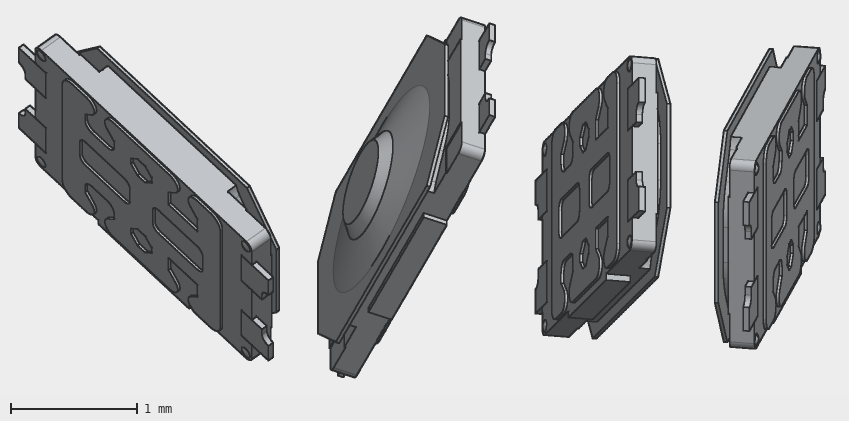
import cadquery as cq
import math


total_length = 3.0
housing_length = 2.6
housing_height = 1.6
corner_radius = 0.07
housing_back = 0.21
half_length = housing_length / 2
half_height = housing_height / 2

step_size = 0.3
step_depth = 0.01

ledge_length = 1.092
ledge_drop = 0.05

seat_half_length = 1.075
seat_side_half_height = 0.15
seat_slant_start = (0.96, 0.492)
seat_slant_end = (0.81, 0.708)
seat_top_half_length = 0.77

cover_bottom = 0.3
cover_top = 0.33
cover_length = 2.508
cover_height = 1.8
cover_top_edge = 1.8
cover_side_edge = 0.858
dome_base_half_length = 0.955
dome_base_half_height = 0.745
dome_shoulder_radius = 0.453
dome_shoulder = 0.425
crown_radius = 0.35
crown_top = 0.507

pad_thickness = 0.025
pad_length = 1.895
pad_height = 1.565
pad_corner_radius = 0.12

notch_offset = 0.5
neck_width = 0.125
neck_lip_radius = 0.1
chamber_width = 0.348
chamber_end = 0.365
chamber_corner_radius = 0.085

window_offset = 0.438
window_length = 0.6
window_height = 0.318
window_corner_radius = 0.07
eye_offset = 0.48
eye_length = 0.25
eye_height = 0.225
eye_chamfer = 0.078

pip_radius = 0.05
pip_inset = 0.072
pip_height = 0.018

terminal_thickness = 0.05
terminal_inner_x = 1.173
terminal_inner_z = 0.205
terminal_outer_z = 0.55
terminal_relief_width = 0.078
terminal_relief_z = 0.348

SIDES = (-1, 1)


def plane_at(y):
    """Sketch plane at height y: local x is X, local y is Z, extrusion runs towards -Y."""
    return cq.Workplane("XZ", origin=(0, y, 0))


def slab(sketch, thickness):
    """Extrude a sketch towards +Y."""
    return sketch.extrude(-thickness)


def make_plate():
    """Rounded plate with stepped back corners and a ledge along its lower edge."""
    plate = slab(plane_at(0).rect(housing_length, housing_height), housing_back)
    plate = plate.edges("|Y").fillet(corner_radius)
    step_floor = housing_back - step_depth
    step = slab(plane_at(step_floor).rect(step_size, step_size), step_depth)
    step_x = half_length - step_size / 2
    step_z = half_height - step_size / 2
    for x_side in SIDES:
        for z_side in SIDES:
            plate = plate.cut(step.translate((x_side * step_x, 0, z_side * step_z)))
    ledge_height = half_height + ledge_drop
    ledge = plane_at(0).center(0, -ledge_height / 2).rect(ledge_length, ledge_height)
    return plate.union(slab(ledge, step_floor))


def make_seat():
    """Seat outline drawn for one quarter, then mirrored across both centre lines."""
    slant_start_x, slant_start_z = seat_slant_start
    slant_end_x, slant_end_z = seat_slant_end
    quarter = (
        plane_at(housing_back)
        .lineTo(seat_half_length, 0)
        .lineTo(seat_half_length, seat_side_half_height)
        .tangentArcPoint(seat_slant_start, relative=False)
        .lineTo(slant_end_x, slant_end_z)
        .tangentArcPoint((seat_top_half_length, half_height), relative=False)
        .lineTo(0, half_height)
        .close()
    )
    quarter = slab(quarter, cover_bottom - housing_back)
    half = quarter.union(quarter.mirror("YZ"))
    return half.union(half.mirror("XY"))


def make_cover():
    """Eight-sided sheet carrying a flared elliptical skirt and a steep round crown."""
    right_corner = [
        (cover_length / 2, cover_side_edge / 2),
        (cover_top_edge / 2, cover_height / 2),
    ]
    upper = right_corner + [(-x, z) for x, z in reversed(right_corner)]
    lower = [(-x, -z) for x, z in upper]
    sheet = slab(plane_at(cover_bottom).polyline(upper + lower).close(), cover_top - cover_bottom)
    skirt = (
        plane_at(cover_top)
        .ellipse(dome_base_half_length, dome_base_half_height)
        .workplane(offset=cover_top - dome_shoulder)
        .circle(dome_shoulder_radius)
        .loft(ruled=True)
    )
    crown = (
        plane_at(dome_shoulder)
        .circle(dome_shoulder_radius)
        .workplane(offset=dome_shoulder - crown_top)
        .circle(crown_radius)
        .loft(ruled=True)
    )
    return sheet.union(skirt).union(crown)


def make_notch(x_side, z_side):
    """Keyhole cutter: lipped neck open at the pad edge, 45 degree shoulders, closed chamber."""
    edge = pad_height / 2
    half_neck = neck_width / 2
    half_chamber = chamber_width / 2
    lip_x = half_neck + neck_lip_radius
    lip_z = edge - neck_lip_radius
    diagonal = neck_lip_radius * math.sqrt(0.5)
    shoulder_x = lip_x - diagonal
    shoulder_z = lip_z - diagonal
    chamber_top = shoulder_z - (half_chamber - shoulder_x)
    notch = slab(
        plane_at(-pad_thickness)
        .moveTo(lip_x, edge)
        .threePointArc((lip_x - diagonal, lip_z + diagonal), (half_neck, lip_z))
        .tangentArcPoint((shoulder_x, shoulder_z), relative=False)
        .lineTo(half_chamber, chamber_top)
        .lineTo(half_chamber, chamber_end)
        .lineTo(0, chamber_end)
        .lineTo(0, edge)
        .close(),
        pad_thickness,
    )
    notch = notch.union(notch.mirror("YZ"))
    if x_side < 0:
        notch = notch.edges("|Y").edges("<Z").fillet(chamber_corner_radius)
    if z_side < 0:
        notch = notch.mirror("XY")
    return notch.translate((x_side * notch_offset, 0, 0))


def make_pad():
    """Thin pad pierced by four keyhole notches, two windows and two eight-sided eyes."""
    pad = slab(plane_at(-pad_thickness).rect(pad_length, pad_height), pad_thickness)
    pad = pad.edges("|Y").fillet(pad_corner_radius)
    for x_side in SIDES:
        for z_side in SIDES:
            pad = pad.cut(make_notch(x_side, z_side))
    window = slab(plane_at(-pad_thickness).rect(window_length, window_height), pad_thickness)
    window = window.edges("|Y").fillet(window_corner_radius)
    eye = slab(plane_at(-pad_thickness).rect(eye_length, eye_height), pad_thickness)
    eye = eye.edges("|Y").chamfer(eye_chamfer)
    for side in SIDES:
        pad = pad.cut(window.translate((side * window_offset, 0, 0)))
        pad = pad.cut(eye.translate((0, 0, side * eye_offset)))
    return pad


def make_pip(x_side, z_side):
    """Shallow spherical cap standing on the mounting face near a corner of the plate."""
    sphere_radius = (pip_radius**2 + pip_height**2) / (2 * pip_height)
    sphere = cq.Workplane("XY").sphere(sphere_radius).translate((0, sphere_radius - pip_height, 0))
    cap = sphere.intersect(slab(plane_at(-pip_height).circle(pip_radius), pip_height))
    return cap.translate((x_side * (half_length - pip_inset), 0, z_side * (half_height - pip_inset)))


def make_terminal(x_side, z_side):
    """Flat lead with a rounded relief at its outer end, on the side facing the centre."""
    tip_x = total_length / 2
    relief_x = tip_x - terminal_relief_width
    terminal = slab(
        plane_at(0)
        .moveTo(terminal_inner_x, terminal_inner_z)
        .lineTo(relief_x, terminal_inner_z)
        .lineTo(relief_x, terminal_relief_z - terminal_relief_width)
        .tangentArcPoint((tip_x, terminal_relief_z), relative=False)
        .lineTo(tip_x, terminal_outer_z)
        .lineTo(terminal_inner_x, terminal_outer_z)
        .close(),
        terminal_thickness,
    )
    if x_side < 0:
        terminal = terminal.mirror("YZ")
    if z_side < 0:
        terminal = terminal.mirror("XY")
    return terminal


terminals = [make_terminal(x_side, z_side) for x_side in SIDES for z_side in SIDES]

housing = make_plate().union(make_seat()).union(make_cover()).union(make_pad())
for x_side in SIDES:
    for z_side in SIDES:
        housing = housing.union(make_pip(x_side, z_side))
for terminal in terminals:
    housing = housing.cut(terminal)

result = cq.Compound.makeCompound([housing.val(), *[terminal.val() for terminal in terminals]])